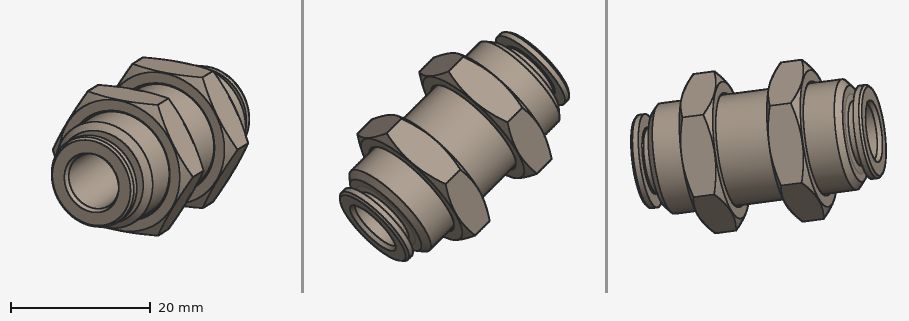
import cadquery as cq
import math

length = 34.4

body_length = 28.95
body_radius = 8.0
body_chamfer_length = 0.93
body_chamfer_depth = 1.03
end_cone_radius = 5.78
end_cone_length = 0.2

neck_radius = 4.7
neck_flare = 0.1
neck_flare_length = 0.2
collar_radius = 6.78
collar_thickness = 1.2
collar_chamfer = 0.35

tube_radius = 4.13
mouth_radius = 4.47
mouth_depth = 0.7
stop_radius = 3.47
stop_length = 3.45
stop_cone_length = tube_radius - stop_radius

nut_across_flats = 20.0
nut_across_corners = nut_across_flats / math.cos(math.radians(30))
nut_thickness = 5.0
nut_gap = 8.05
nut_face_radius = 9.9
nut_chamfer_angle = 30
nut_countersink = 0.28

half_length = length / 2
half_body = body_length / 2


def revolve_symmetric(half_outline):
    """Revolve about Y the (radius, y) outline of the +Y half together with its mirror image."""
    mirrored = [(radius, -y) for radius, y in reversed(half_outline)]
    outline = half_outline + mirrored
    return cq.Workplane("XY").polyline(outline).close().revolve(360, (0, 0), (0, 1))


def make_body():
    collar_back = half_length - collar_thickness
    cone_tip = half_body + end_cone_length
    return revolve_symmetric([
        (body_radius, half_body - body_chamfer_length),
        (body_radius - body_chamfer_depth, half_body),
        (end_cone_radius, half_body),
        (neck_radius, cone_tip),
        (neck_radius, collar_back - neck_flare_length),
        (neck_radius + neck_flare, collar_back),
        (collar_radius, collar_back),
        (collar_radius, half_length - collar_chamfer),
        (collar_radius - collar_chamfer, half_length),
        (0, half_length),
    ])


def make_bore():
    return revolve_symmetric([
        (stop_radius, stop_length / 2),
        (tube_radius, stop_length / 2 + stop_cone_length),
        (tube_radius, half_length - mouth_depth),
        (mouth_radius, half_length),
        (0, half_length),
    ])


def make_nut():
    """Nut centred on the origin, with chamfered corners and countersunk hole."""
    half_nut = nut_thickness / 2
    corner_radius = nut_across_corners / 2
    corner_drop = (corner_radius - nut_face_radius) * math.tan(math.radians(nut_chamfer_angle))
    hexagon = cq.Workplane("XZ").polygon(6, nut_across_corners).extrude(half_nut, both=True)
    envelope = revolve_symmetric([
        (corner_radius, half_nut - corner_drop),
        (nut_face_radius, half_nut),
        (0, half_nut),
    ])
    hole = revolve_symmetric([
        (body_radius, half_nut - nut_countersink),
        (body_radius + nut_countersink, half_nut),
        (0, half_nut),
    ])
    return hexagon.intersect(envelope).cut(hole)


result = make_body()
nut = make_nut()
nut_offset = (nut_gap + nut_thickness) / 2
for side in (-1, 1):
    result = result.union(nut.translate((0, side * nut_offset, 0)))
result = result.cut(make_bore())